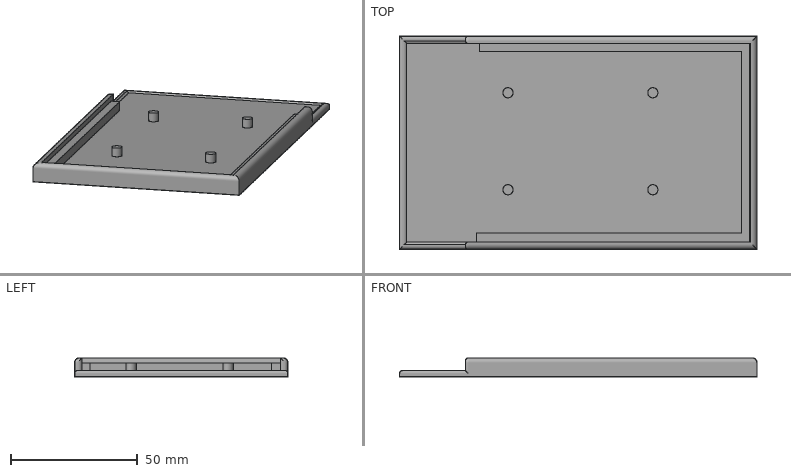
import cadquery as cq
import math

LENGTH = 141.22
WIDTH = 84.25
HEIGHT = 7.5

FLOOR_TOP = 2.0
LIP_TOP = 2.5
LEDGE_TOP = 5.5
PIN_TOP = 5.5

RIM_WIDTH = 3.0
RIM_ROUNDING = 2.0
LIP_ROUNDING = 1.3
LIP_BEVEL = 1.0
RIM_START = 26.0
RIM_END_ROUNDING = 1.3
HIGH_RIM_WIDTH = 2.9
HIGH_RIM_LEAN = 0.3
LOW_LIP_WIDTH = 1.75
LIP_COVE_RADIUS = 1.5

LEDGE_INSET = 6.1
LEDGE_INSET_FRONT = 6.5
LEDGE_START_BACK = 31.7
LEDGE_START_FRONT = 30.5

PIN_DIAMETER = 4.0
PIN_SPACING_X = 57.2
PIN_SPACING_Y = 38.3
PIN_CENTER_X = 0.85
PIN_CENTER_Y = 0.6

LOW_END = -LENGTH / 2
HIGH_END = LENGTH / 2
BACK = WIDTH / 2
FRONT = -WIDTH / 2


def block(x_range, y_range, z_range):
    """Box spanning the given (low, high) ranges."""
    size = [high - low for low, high in (x_range, y_range, z_range)]
    return cq.Workplane("XY").box(*size, centered=False).translate(
        (x_range[0], y_range[0], z_range[0])
    )


def make_recess():
    """Floor recess: bevelled along the sides and coved at the low end."""
    depth = LIP_TOP - FLOOR_TOP
    side = WIDTH / 2 - RIM_WIDTH
    bevelled_side = side + LIP_BEVEL
    bevelled = (
        cq.Workplane("YZ", origin=(LOW_END, 0, 0))
        .moveTo(-side, FLOOR_TOP)
        .lineTo(side, FLOOR_TOP)
        .lineTo(bevelled_side, LIP_TOP)
        .lineTo(-bevelled_side, LIP_TOP)
        .close()
        .extrude(LENGTH - HIGH_RIM_WIDTH)
    )
    cove_run = math.sqrt(LIP_COVE_RADIUS**2 - (LIP_COVE_RADIUS - depth) ** 2)
    lip_x = LOW_END + LOW_LIP_WIDTH
    high_x = HIGH_END - HIGH_RIM_WIDTH
    coved = (
        cq.Workplane("XZ", origin=(0, BACK, 0))
        .moveTo(lip_x, LIP_TOP)
        .radiusArc((lip_x + cove_run, FLOOR_TOP), LIP_COVE_RADIUS)
        .lineTo(high_x, FLOOR_TOP)
        .lineTo(high_x, LIP_TOP)
        .close()
        .extrude(WIDTH)
    )
    return bevelled.intersect(coved)


def make_tray():
    """Shallow plate with a rounded outer lip around a recessed floor."""
    plate = block((LOW_END, HIGH_END), (FRONT, BACK), (0, LIP_TOP))
    plate = plate.faces(">Z").edges().fillet(LIP_ROUNDING)
    return plate.cut(make_recess())


def make_rim_opening(rim_x):
    """Space inside the rim, whose high end leans slightly outward above the ledge."""
    foot_x = HIGH_END - HIGH_RIM_WIDTH
    return (
        cq.Workplane("XZ", origin=(0, BACK - RIM_WIDTH, 0))
        .moveTo(rim_x, 0)
        .lineTo(foot_x, 0)
        .lineTo(foot_x, LEDGE_TOP)
        .lineTo(foot_x + HIGH_RIM_LEAN, HEIGHT)
        .lineTo(rim_x, HEIGHT)
        .close()
        .extrude(WIDTH - 2 * RIM_WIDTH)
    )


def make_rim():
    """Tall U-shaped rim, rounded along its outer top edge and at both ends."""
    rim_x = LOW_END + RIM_START
    outer = block((rim_x, HIGH_END), (FRONT, BACK), (0, HEIGHT))
    walls = outer.cut(make_rim_opening(rim_x))
    walls = walls.faces("<X").edges("|Z").fillet(RIM_END_ROUNDING)
    envelope = outer.faces(">Z").edges("not <X").fillet(RIM_ROUNDING)
    envelope = envelope.faces("<X").edges("not <Z").fillet(RIM_END_ROUNDING)
    return walls.intersect(envelope)


def make_ledge():
    """Low step inside the rim: two side arms joined by a bar at the high end."""
    wall = RIM_WIDTH / 2
    z_range = (0, LEDGE_TOP)
    inner_x = HIGH_END - LEDGE_INSET
    outer_x = HIGH_END - wall
    back_arm = block(
        (LOW_END + LEDGE_START_BACK, outer_x),
        (BACK - LEDGE_INSET, BACK - wall),
        z_range,
    )
    front_arm = block(
        (LOW_END + LEDGE_START_FRONT, outer_x),
        (FRONT + wall, FRONT + LEDGE_INSET_FRONT),
        z_range,
    )
    end_bar = block((inner_x, outer_x), (FRONT + wall, BACK - wall), z_range)
    return back_arm.union(front_arm).union(end_bar)


def make_pins():
    """Four cylindrical pins standing on the floor."""
    return (
        cq.Workplane("XY")
        .center(PIN_CENTER_X, PIN_CENTER_Y)
        .rect(PIN_SPACING_X, PIN_SPACING_Y, forConstruction=True)
        .vertices()
        .circle(PIN_DIAMETER / 2)
        .extrude(PIN_TOP)
    )


result = make_tray().union(make_rim()).union(make_ledge()).union(make_pins())